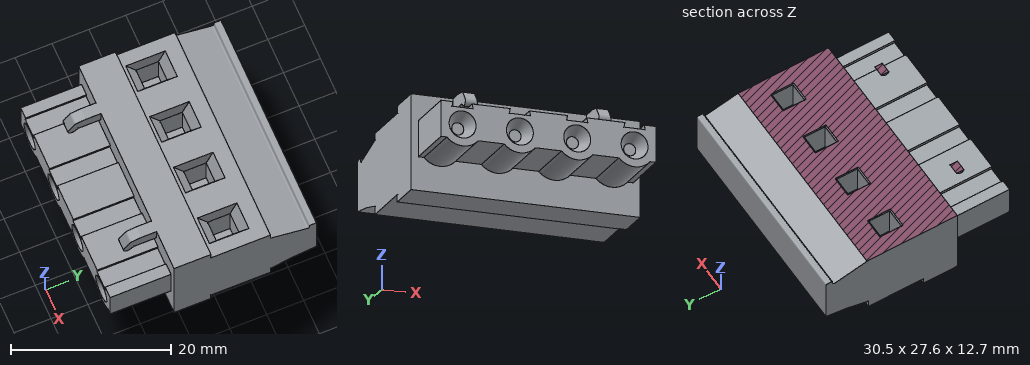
import cadquery as cq
import math


POLES = 4
PITCH = 7.62
WIDTH = POLES * PITCH
HEIGHT = 12.7
CONTACT_Z = HEIGHT / 2

BODY_LENGTH = 19.35
COLLAR_LENGTH = 5.0
COLLAR_STEP = 0.97
MID_END_Y = 13.1
MID_TOP_Z = HEIGHT - COLLAR_STEP
MID_BOTTOM_Z = COLLAR_STEP
MID_EDGE_RADIUS = 0.2
TOP_SLOPE_START_Z = 10.83
TOP_SLOPE_END_Z = 9.5
LIP_TOP_Z = 10.2
LIP_LENGTH = 1.0
LIP_EDGE_RADIUS = 0.22
LIP_ROOT_RADIUS = 0.25
BOTTOM_SLOPE_START_Z = 2.1
BOTTOM_BREAK_Y = 16.2
BOTTOM_BREAK_Z = 2.9
BOTTOM_REAR_Z = 3.38

NOSE_LENGTH = 8.25
NOSE_INSET = 0.96
NOSE_TOP_Z = 9.22
NOSE_BOTTOM_Z = 4.45
BARREL_RADIUS = 2.82
GROOVE_DEPTH = 0.62
GROOVE_TOP_WIDTH = 2.56
GROOVE_BOTTOM_WIDTH = 2.82

FUNNEL_MOUTH_DIAMETER = 3.57
FUNNEL_END_DIAMETER = 1.6
FUNNEL_DEPTH = 1.75

WELL_FRONT_Y = 5.6
WELL_LENGTH = 5.35
WELL_WIDTH = 3.84
WELL_TAPER_DEPTH = 1.1
WELL_SIDE_TAPER = 0.54
WELL_END_TAPER = 1.15
WELL_FLOOR_Z = CONTACT_Z

HOOK_SPACING = 17.75
HOOK_WIDTH = 1.6
HOOK_THICKNESS = 1.75
HOOK_ARM_LENGTH = 2.07
HOOK_BEND_START = (-3.27, 12.5)
HOOK_BEND_END = (-3.6, 12.3)
HOOK_TIP_CENTER = (-3.93, 10.99)
HOOK_TIP_RADIUS = 0.55
HOOK_THROAT_Y = -3.04


def pole_positions():
    """X positions of the poles, centred on the part."""
    return [(pole - (POLES - 1) / 2) * PITCH for pole in range(POLES)]


def make_housing():
    """Stepped housing section swept over the full width."""
    lip_front_y = BODY_LENGTH - LIP_LENGTH
    section = [
        (0, 0),
        (COLLAR_LENGTH, 0),
        (COLLAR_LENGTH, MID_BOTTOM_Z),
        (MID_END_Y, MID_BOTTOM_Z),
        (MID_END_Y, BOTTOM_SLOPE_START_Z),
        (BOTTOM_BREAK_Y, BOTTOM_BREAK_Z),
        (BODY_LENGTH, BOTTOM_REAR_Z),
        (BODY_LENGTH, LIP_TOP_Z),
        (lip_front_y, LIP_TOP_Z),
        (lip_front_y, TOP_SLOPE_END_Z),
        (MID_END_Y, TOP_SLOPE_START_Z),
        (MID_END_Y, MID_TOP_Z),
        (COLLAR_LENGTH, MID_TOP_Z),
        (COLLAR_LENGTH, HEIGHT),
        (0, HEIGHT),
    ]
    housing = cq.Workplane("YZ").polyline(section).close().extrude(WIDTH / 2, both=True)

    def round_edge(solid, y, z, radius):
        """Round the full-width edge that runs through the point (y, z)."""
        return solid.edges(cq.NearestToPointSelector((0, y, z))).fillet(radius)

    housing = round_edge(housing, MID_END_Y, MID_TOP_Z, MID_EDGE_RADIUS)
    housing = round_edge(housing, BODY_LENGTH, LIP_TOP_Z, LIP_EDGE_RADIUS)
    housing = round_edge(housing, lip_front_y, LIP_TOP_Z, LIP_EDGE_RADIUS)
    return round_edge(housing, lip_front_y, TOP_SLOPE_END_Z, LIP_ROOT_RADIUS)


def make_nose():
    """Plug nose with a barrel under each contact and a dovetail groove above it."""
    nose_width = WIDTH - 2 * NOSE_INSET
    nose_height = NOSE_TOP_Z - NOSE_BOTTOM_Z
    nose = cq.Workplane("XY").box(nose_width, NOSE_LENGTH, nose_height, centered=(True, False, False))
    nose = nose.translate((0, -NOSE_LENGTH, NOSE_BOTTOM_Z))

    contacts = [(x, CONTACT_Z) for x in pole_positions()]
    barrels = cq.Workplane("XZ").pushPoints(contacts).circle(BARREL_RADIUS).extrude(NOSE_LENGTH)
    barrel_zone = cq.Workplane("XY").box(nose_width, 2 * NOSE_LENGTH, CONTACT_Z, centered=(True, True, False))
    nose = nose.union(barrels.intersect(barrel_zone))

    groove_floor_z = NOSE_TOP_Z - GROOVE_DEPTH
    for x in pole_positions():
        groove_section = [
            (x - GROOVE_BOTTOM_WIDTH / 2, groove_floor_z),
            (x + GROOVE_BOTTOM_WIDTH / 2, groove_floor_z),
            (x + GROOVE_TOP_WIDTH / 2, NOSE_TOP_Z),
            (x - GROOVE_TOP_WIDTH / 2, NOSE_TOP_Z),
        ]
        nose = nose.cut(cq.Workplane("XZ").polyline(groove_section).close().extrude(NOSE_LENGTH))
    return nose


def make_funnel(x):
    """Conical contact opening that narrows from the nose face toward the rear."""
    return cq.Workplane(cq.Solid.makeCone(
        FUNNEL_MOUTH_DIAMETER / 2,
        FUNNEL_END_DIAMETER / 2,
        FUNNEL_DEPTH,
        pnt=cq.Vector(x, -NOSE_LENGTH, CONTACT_Z),
        dir=cq.Vector(0, 1, 0),
    ))


def make_well(x):
    """Rectangular well: a tapered mouth above a straight shaft."""
    shaft_width = WELL_WIDTH - 2 * WELL_SIDE_TAPER
    shaft_length = WELL_LENGTH - 2 * WELL_END_TAPER
    shaft_depth = MID_TOP_Z - WELL_FLOOR_Z
    top = cq.Workplane("XY", origin=(x, WELL_FRONT_Y + WELL_LENGTH / 2, MID_TOP_Z))
    mouth = (
        top.rect(WELL_WIDTH, WELL_LENGTH)
        .workplane(offset=-WELL_TAPER_DEPTH)
        .rect(shaft_width, shaft_length)
        .loft(ruled=True)
    )
    return mouth.union(top.rect(shaft_width, shaft_length).extrude(-shaft_depth))


def make_hook(x):
    """Latch arm that bends down to a rounded tip in front of the shoulder."""
    tip_y, tip_z = HOOK_TIP_CENTER
    diagonal = HOOK_TIP_RADIUS * math.sqrt(0.5)
    hook = (
        cq.Workplane("YZ", origin=(x, 0, 0))
        .moveTo(0, HEIGHT - HOOK_THICKNESS)
        .lineTo(0, HEIGHT)
        .lineTo(-HOOK_ARM_LENGTH, HEIGHT)
        .lineTo(*HOOK_BEND_START)
        .tangentArcPoint(HOOK_BEND_END, relative=False)
        .lineTo(tip_y - diagonal, tip_z + diagonal)
        .threePointArc((tip_y - diagonal, tip_z - diagonal), (tip_y + diagonal, tip_z - diagonal))
        .lineTo(HOOK_THROAT_Y, HEIGHT - HOOK_THICKNESS)
        .close()
    )
    return hook.extrude(HOOK_WIDTH / 2, both=True)


result = make_housing().union(make_nose())
for hook_x in (-HOOK_SPACING / 2, HOOK_SPACING / 2):
    result = result.union(make_hook(hook_x))
for pole_x in pole_positions():
    result = result.cut(make_funnel(pole_x)).cut(make_well(pole_x))